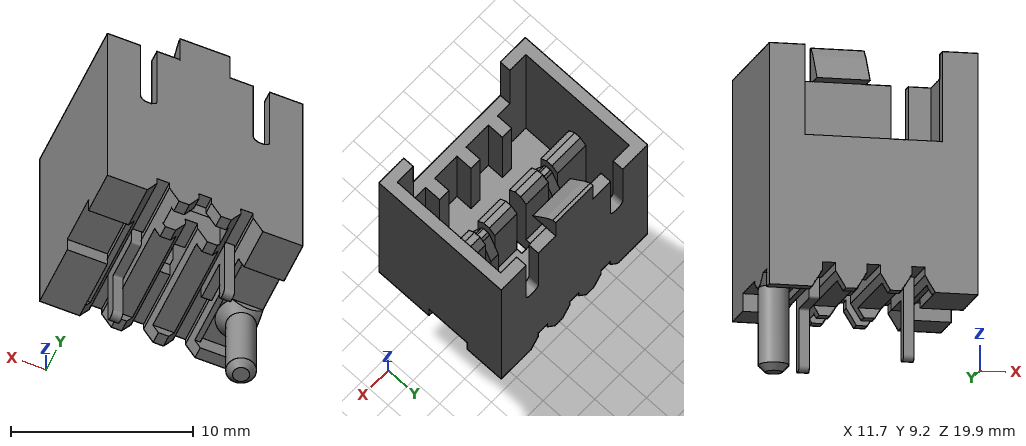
import cadquery as cq

BODY_X = 11.7
BODY_Y = 9.2
BODY_Z = 13.6
OVERALL_Z = 19.9
WALL = 0.72
FLOOR_TOP = 2.39
HALF_X = BODY_X / 2
HALF_Y = BODY_Y / 2
INNER_X = BODY_X - 2 * WALL
INNER_HALF_Y = HALF_Y - WALL

PITCH = 2.5
POSITIONS = (-PITCH, 0, PITCH)
SLIT_WIDTH = 0.74

WINDOW_WIDTH = 7.72
WINDOW_SILL = 8.52
RIB_DEPTH = 1.05

ARM_WIDTH = 5.77
SLOT_WIDTH = (WINDOW_WIDTH - ARM_WIDTH) / 2
SLOT_BOTTOM = 8.4
SLOT_FILLET = 0.4

LATCH_WIDTH = 2.98
LATCH_TOP = 15.6
LATCH_FLAT = 0.22
LATCH_KINK_Z = 15.05
LATCH_REACH = 1.73
LATCH_HOLE_WIDTH = 3.38
LATCH_HOLE_REACH = 1.85

RIDGE_WIDTH = 1.25
RIDGE_TOP = 8.2
RIDGE_CHAMFER = 0.42
SLIT_LENGTH = 1.99

GROOVE_TOP = 1.4
GROOVE_FLARE_Z = 0.94
GROOVE_FLARE = 0.58
POCKET_HEIGHT = 1.0
RELIEF_HEIGHT = 0.54
RECESS_BACK_Y = 2.03
POCKET_FRONT_Y = -3.88
RELIEF_FRONT_Y = -0.84
POCKET_INNER_X = PITCH + SLIT_WIDTH / 2 + GROOVE_FLARE

PEG_DIAMETER = 1.7
PEG_RADIUS = PEG_DIAMETER / 2
PEG_BOTTOM = LATCH_TOP - OVERALL_Z
PEG_CHAMFER = 0.38
PEG_X = PEG_RADIUS - HALF_X
PEG_Y = -1.87
CONE_BOTTOM = 0.42

TERMINAL_THICKNESS = 0.6
BLADE_HALF = 0.95
SHOULDER_Y = 0.75
SHOULDER_Z = 6.27
SHOULDER_DROP = 0.6
TIP_Z = 7.6
TIP_HALF_FLAT = 0.15
TIP_CHAMFER = 0.14
BAR_BOTTOM = 0.2
FOOT_Y = 1.9
FOOT_WIDTH = 0.68
FOOT_BOTTOM = -3.32
FOOT_ROUND = 0.32
BAR_FILLET = 0.14


def block(x0, x1, y0, y1, z0, z1):
    """Box between opposite corners."""
    return cq.Workplane("XY").box(x1 - x0, y1 - y0, z1 - z0, centered=False).translate((x0, y0, z0))


def bar_along_x(points, width):
    """Extrude a (y, z) outline symmetrically about X = 0."""
    return cq.Workplane("YZ").polyline(points).close().extrude(width / 2, both=True)


def shell():
    """Open-topped box with the window in front and the latch arm at the back."""
    body = block(-HALF_X, HALF_X, -HALF_Y, HALF_Y, 0, BODY_Z)
    body = body.cut(block(-INNER_X / 2, INNER_X / 2, -INNER_HALF_Y, INNER_HALF_Y, FLOOR_TOP, BODY_Z))
    body = body.cut(block(-WINDOW_WIDTH / 2, WINDOW_WIDTH / 2, -HALF_Y, -INNER_HALF_Y, WINDOW_SILL, BODY_Z))
    slot = block(ARM_WIDTH / 2, ARM_WIDTH / 2 + SLOT_WIDTH, INNER_HALF_Y, HALF_Y, SLOT_BOTTOM, BODY_Z)
    slot = slot.edges("|Y and <Z").fillet(SLOT_FILLET)
    return body.cut(slot).cut(slot.mirror("YZ"))


def ribs():
    """Upright ribs on the inside of the front wall, up to the window sill."""
    row = cq.Workplane("XY")
    half = SLIT_WIDTH / 2
    for x in POSITIONS:
        rib = block(x - half, x + half, -INNER_HALF_Y, -INNER_HALF_Y + RIB_DEPTH, 0, WINDOW_SILL)
        row = row.add(rib)
    return row.combine()


def ridge():
    """Chamfered ridge rising from the floor between the side walls."""
    half = RIDGE_WIDTH / 2
    half_top = half - RIDGE_CHAMFER
    shoulder = RIDGE_TOP - RIDGE_CHAMFER
    outline = [
        (-half, 0), (half, 0), (half, shoulder),
        (half_top, RIDGE_TOP), (-half_top, RIDGE_TOP), (-half, shoulder),
    ]
    return bar_along_x(outline, INNER_X)


def latch():
    """Tapered nose that overhangs the cavity."""
    outline = [
        (HALF_Y, BODY_Z), (HALF_Y, LATCH_TOP), (HALF_Y - LATCH_FLAT, LATCH_TOP),
        (INNER_HALF_Y, LATCH_KINK_Z), (HALF_Y - LATCH_REACH, BODY_Z),
    ]
    return bar_along_x(outline, LATCH_WIDTH)


def floor_openings():
    """Slits through floor and ridge at each position, and the hole below the latch."""
    half_hole = LATCH_HOLE_WIDTH / 2
    openings = block(-half_hole, half_hole, HALF_Y - LATCH_HOLE_REACH, INNER_HALF_Y, 0, FLOOR_TOP)
    half_x = SLIT_WIDTH / 2
    half_y = SLIT_LENGTH / 2
    for x in POSITIONS:
        openings = openings.union(block(x - half_x, x + half_x, -half_y, half_y, 0, RIDGE_TOP))
    return openings


def underside_cuts():
    """Grooves, side pockets and relief in the seating face; a pad stays at the +X front corner."""
    cuts = block(-HALF_X, HALF_X, RELIEF_FRONT_Y, RECESS_BACK_Y, 0, RELIEF_HEIGHT)
    cuts = cuts.union(block(-HALF_X, POCKET_INNER_X, POCKET_FRONT_Y, RELIEF_FRONT_Y, 0, RELIEF_HEIGHT))
    cuts = cuts.union(block(-HALF_X, -POCKET_INNER_X, POCKET_FRONT_Y, RECESS_BACK_Y, 0, POCKET_HEIGHT))
    cuts = cuts.union(block(POCKET_INNER_X, HALF_X, RELIEF_FRONT_Y, RECESS_BACK_Y, 0, POCKET_HEIGHT))
    half = SLIT_WIDTH / 2
    mouth = half + GROOVE_FLARE
    for x in POSITIONS:
        outline = [
            (x - mouth, 0), (x - half, GROOVE_FLARE_Z), (x - half, GROOVE_TOP),
            (x + half, GROOVE_TOP), (x + half, GROOVE_FLARE_Z), (x + mouth, 0),
        ]
        cuts = cuts.union(cq.Workplane("XZ").polyline(outline).close().extrude(HALF_Y, both=True))
    return cuts


def locating_peg():
    """Round peg that hangs from the side pocket on a cone trimmed to the housing."""
    root_radius = PEG_RADIUS + POCKET_HEIGHT - CONE_BOTTOM
    outline = [
        (0, PEG_BOTTOM), (PEG_RADIUS - PEG_CHAMFER, PEG_BOTTOM), (PEG_RADIUS, PEG_BOTTOM + PEG_CHAMFER),
        (PEG_RADIUS, CONE_BOTTOM), (root_radius, POCKET_HEIGHT), (0, POCKET_HEIGHT),
    ]
    peg = cq.Workplane("XZ").polyline(outline).close().revolve(360, (0, 0), (0, 1))
    peg = peg.translate((PEG_X, PEG_Y, 0))
    return peg.intersect(block(-HALF_X, 0, -HALF_Y, RELIEF_FRONT_Y, PEG_BOTTOM, POCKET_HEIGHT))


def terminal():
    """Flat contact at X = 0: tapered blade, bar in the groove and a foot offset towards +Y."""
    tip_side = TIP_HALF_FLAT + TIP_CHAMFER
    blade_top = SHOULDER_Z - SHOULDER_DROP
    foot_inner = FOOT_Y - FOOT_WIDTH / 2
    foot_outer = FOOT_Y + FOOT_WIDTH / 2
    outline = [
        (-BLADE_HALF, BAR_BOTTOM), (-BLADE_HALF, blade_top), (-SHOULDER_Y, SHOULDER_Z),
        (-tip_side, TIP_Z - TIP_CHAMFER), (-TIP_HALF_FLAT, TIP_Z), (TIP_HALF_FLAT, TIP_Z),
        (tip_side, TIP_Z - TIP_CHAMFER), (SHOULDER_Y, SHOULDER_Z), (BLADE_HALF, blade_top),
        (BLADE_HALF, GROOVE_TOP), (foot_outer, GROOVE_TOP), (foot_outer, FOOT_BOTTOM),
        (foot_inner, FOOT_BOTTOM), (foot_inner, BAR_BOTTOM),
    ]
    contact = bar_along_x(outline, TERMINAL_THICKNESS)
    contact = contact.edges("|X and <Z").fillet(FOOT_ROUND)
    for y in (-BLADE_HALF, foot_inner):
        bar_corner = cq.selectors.NearestToPointSelector((0, y, BAR_BOTTOM))
        contact = contact.edges(bar_corner).fillet(BAR_FILLET)
    return contact


housing = shell().union(ribs()).union(ridge())
housing = housing.cut(floor_openings()).cut(underside_cuts())
housing = housing.union(latch()).union(locating_peg())

left_terminal = terminal().translate((-PITCH, 0, 0))
right_terminal = terminal().mirror("XZ").translate((PITCH, 0, 0))

result = housing.union(left_terminal).union(right_terminal)